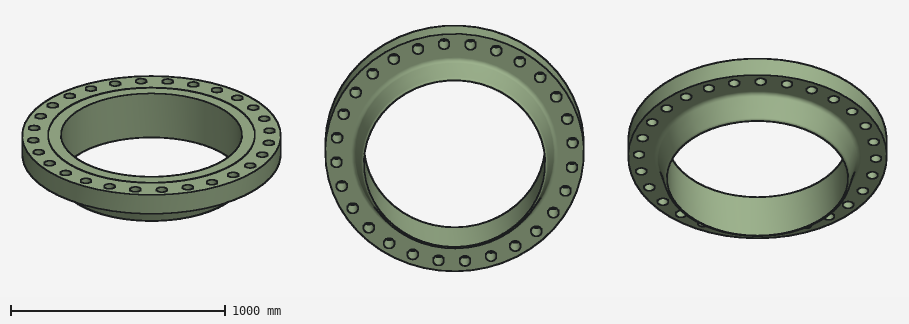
import cadquery as cq

flange_diameter = 1206.0
total_height = 232.0
flange_thickness = 101.0
bore_diameter = 845.0

face_diameter = 965.0
face_height = 2.0

hub_top_diameter = 934.0
hub_bottom_diameter = 864.0
hub_root_radius = 20.0
hub_end_radius = 12.0

bolt_count = 28
bolt_circle_diameter = 1105.0
bolt_hole_diameter = 51.0

flange_bottom = total_height - flange_thickness
flange_top = total_height - face_height


def tapered_hub():
    """Hub cone with a rounded outer edge at its free end."""
    hub = (
        cq.Workplane("XY")
        .circle(hub_bottom_diameter / 2)
        .workplane(offset=flange_bottom)
        .circle(hub_top_diameter / 2)
        .loft(ruled=True)
    )
    return hub.faces("<Z").edges().fillet(hub_end_radius)


def flange_plate():
    """Flat bolting ring with the raised sealing face on top."""
    plate = (
        cq.Workplane("XY")
        .workplane(offset=flange_bottom)
        .circle(flange_diameter / 2)
        .extrude(flange_top - flange_bottom)
    )
    return plate.faces(">Z").workplane().circle(face_diameter / 2).extrude(face_height)


body = flange_plate().union(tapered_hub())
body = body.faces("%CONE").edges(">Z").fillet(hub_root_radius)

bore = cq.Workplane("XY").circle(bore_diameter / 2).extrude(total_height)

bolt_holes = (
    cq.Workplane("XY")
    .workplane(offset=flange_bottom)
    .polarArray(bolt_circle_diameter / 2, 0, 360, bolt_count)
    .circle(bolt_hole_diameter / 2)
    .extrude(flange_thickness)
)

result = body.cut(bore).cut(bolt_holes)